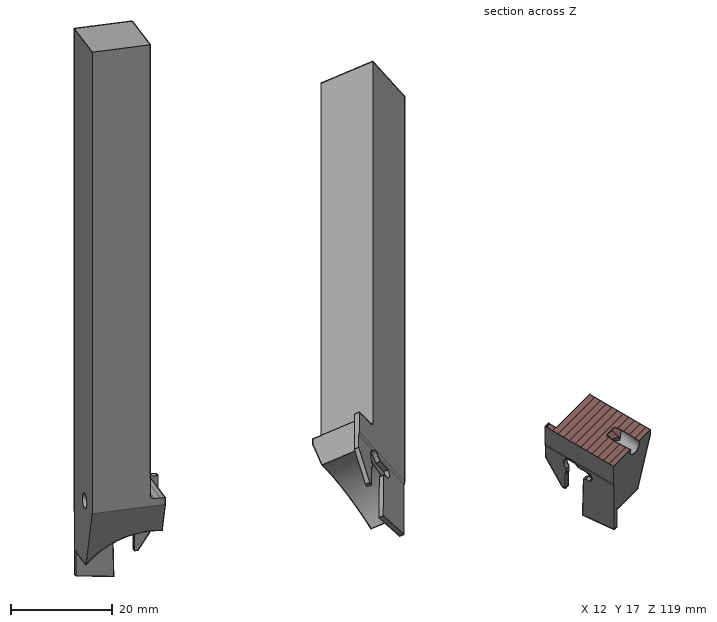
import cadquery as cq
import math

LENGTH = 119.0
SHANK = 12.0
HEAD_WIDTH = 17.0
BODY_WIDTH = 15.1

SHOULDER_Z = 20.8
SHOULDER_BREAK_Y = 14.0
SHOULDER_END_Z = 20.6
SHOULDER_FILLET = 0.8

BLADE_BACK_X = 1.2
BLADE_RELIEF = 0.18
RELIEF_TOP_Z = 15.2
RELIEF_BOTTOM_Z = 14.5
JAW_CORNER_Z = 1.2
JAW_TIP_Y = 7.9
FINGER_CORNER_Z = 11.2
FINGER_TIP_Y = 12.9
FINGER_TIP_Z = 5.0

JAW_LIP = (7.6, 11.2)
JAW_LIP_TOP = (7.0, 11.5)
POCKET_FLOOR_END = (6.2, 11.5)
POCKET_END = (5.5, 12.7)
POCKET_ROOF_START = (6.1, 13.8)
POCKET_ROOF_END = (8.9, 13.8)
CROWN_START = (9.8, 14.5)
CROWN_TOP = (10.7, 15.0)
CROWN_END = (11.9, 14.4)
FINGER_HOLLOW = (12.5, 13.0)
FINGER_PAD_TOP = (11.9, 11.2)
FINGER_PAD_BOTTOM = (11.9, 9.8)
FINGER_STEP = (12.1, 9.5)

TAPER_TOP_Z = 19.3
TAPER_END_X = 7.9
BODY_BOTTOM_Z = 6.4
CLEARANCE_Y = 12.1
CLEARANCE_TOP_Z = 13.0

BORE_X = 6.9
BORE_Z = 19.9
BORE_DIAMETER = 3.0
BORE_RISE = 15.0
BORE_DEPTH = 6.0
BORE_OVERRUN = 2.4
PLUG_LENGTH = 2.4
RIDGE_HEIGHT = 1.0


def extrude_x(outline, x_start, x_end):
    """Extrude an outline in the YZ plane from x_start to x_end."""
    return outline.extrude(x_end - x_start).translate((x_start, 0, 0))


def close_over_shank(outline):
    """Finish a YZ outline along the shoulder, up the shank and back to its start."""
    return (
        outline
        .lineTo(SHOULDER_BREAK_Y, SHOULDER_Z)
        .lineTo(SHANK + SHOULDER_FILLET, SHOULDER_Z)
        .radiusArc((SHANK, SHOULDER_Z + SHOULDER_FILLET), SHOULDER_FILLET)
        .lineTo(SHANK, LENGTH)
        .lineTo(0, LENGTH)
        .close()
    )


def make_side_plate():
    """Plate with the full side outline of the holder and the insert slot."""
    outline = (
        cq.Workplane("YZ")
        .moveTo(0, JAW_CORNER_Z)
        .lineTo(JAW_TIP_Y, 0)
        .lineTo(*JAW_LIP)
        .lineTo(*JAW_LIP_TOP)
        .lineTo(*POCKET_FLOOR_END)
        .threePointArc(POCKET_END, POCKET_ROOF_START)
        .lineTo(*POCKET_ROOF_END)
        .lineTo(*CROWN_START)
        .threePointArc(CROWN_TOP, CROWN_END)
        .threePointArc(FINGER_HOLLOW, FINGER_PAD_TOP)
        .lineTo(*FINGER_PAD_BOTTOM)
        .lineTo(*FINGER_STEP)
        .lineTo(FINGER_STEP[0], FINGER_TIP_Z)
        .lineTo(FINGER_TIP_Y, FINGER_TIP_Z)
        .lineTo(HEAD_WIDTH, FINGER_CORNER_Z)
        .lineTo(HEAD_WIDTH, SHOULDER_END_Z)
    )
    return extrude_x(close_over_shank(outline), 0, BLADE_BACK_X)


def make_blade():
    """Blade side of the holder with its slot and set-back face."""
    setback = (
        cq.Workplane("XZ")
        .polyline([(0, 0), (BLADE_RELIEF, 0), (BLADE_RELIEF, RELIEF_BOTTOM_Z), (0, RELIEF_TOP_Z)])
        .close()
        .extrude(-HEAD_WIDTH)
    )
    return make_side_plate().cut(setback)


def make_thick_body():
    """Thick part behind the blade."""
    clearance_rise = CLEARANCE_TOP_Z - BODY_BOTTOM_Z
    radius = (CLEARANCE_Y**2 + clearance_rise**2) / (2 * clearance_rise)
    end_z = CLEARANCE_TOP_Z - radius + math.sqrt(radius**2 - (BODY_WIDTH - CLEARANCE_Y)**2)
    slope = (SHOULDER_Z - SHOULDER_END_Z) / (HEAD_WIDTH - SHOULDER_BREAK_Y)
    outline = (
        cq.Workplane("YZ")
        .moveTo(0, BODY_BOTTOM_Z)
        .threePointArc((CLEARANCE_Y, CLEARANCE_TOP_Z), (BODY_WIDTH, end_z))
        .lineTo(BODY_WIDTH, SHOULDER_Z - slope * (BODY_WIDTH - SHOULDER_BREAK_Y))
    )
    taper = (
        cq.Workplane("XZ")
        .polyline([(TAPER_END_X, BODY_BOTTOM_Z), (SHANK, BODY_BOTTOM_Z), (SHANK, TAPER_TOP_Z)])
        .close()
        .extrude(-HEAD_WIDTH)
    )
    return extrude_x(close_over_shank(outline), BLADE_BACK_X, SHANK).cut(taper)


def along_bore(start, end):
    """Cylinder around the +Y axis, from start to end, with the bore's diameter."""
    return cq.Workplane("XZ", origin=(0, start, 0)).circle(BORE_DIAMETER / 2).extrude(start - end)


def place_in_bore(shape):
    """Tilt a shape built on the +Y axis and move it to the bore's mouth."""
    return shape.rotate((0, 0, 0), (1, 0, 0), BORE_RISE).translate((BORE_X, 0, BORE_Z))


def make_holder():
    """Complete holder with its inclined bore."""
    bore = place_in_bore(along_bore(-BORE_OVERRUN, BORE_DEPTH))
    return make_blade().union(make_thick_body()).cut(bore)


def make_plug():
    """Plug filling the inner end of the bore, with a ridged front end."""
    front = BORE_DEPTH - PLUG_LENGTH
    shoulder = front + RIDGE_HEIGHT
    radius = BORE_DIAMETER / 2
    ridged_block = (
        cq.Workplane("XY")
        .moveTo(0, front)
        .lineTo(radius, shoulder)
        .lineTo(radius, BORE_DEPTH)
        .lineTo(-radius, BORE_DEPTH)
        .lineTo(-radius, shoulder)
        .close()
        .extrude(radius, both=True)
    )
    return place_in_bore(along_bore(front, BORE_DEPTH).intersect(ridged_block))


holder = make_holder()
plug = make_plug()
result = cq.Compound.makeCompound([holder.solids().val(), plug.solids().val()])